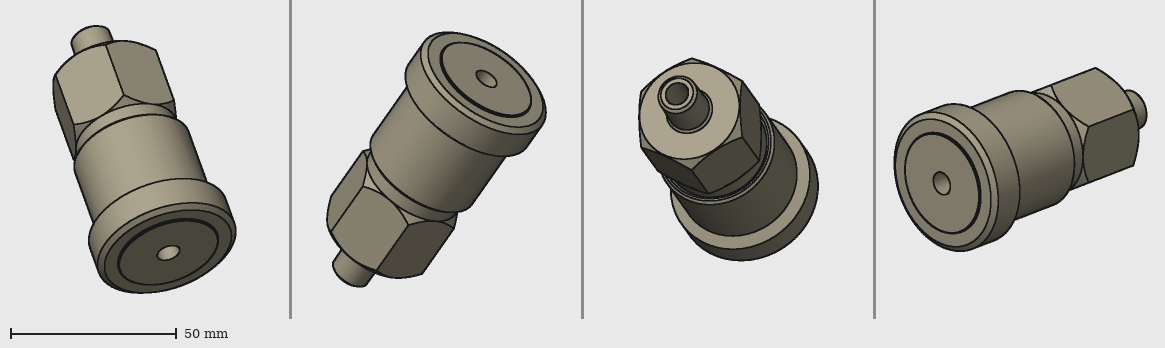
import cadquery as cq
import math

total_length = 83.8
bore_diameter = 7.1

nozzle_mouth_diameter = 10.15
nozzle_tip_diameter = 12.15
nozzle_tip_chamfer = 0.8
nozzle_base_diameter = 12.8
nozzle_flare_start = 13.4
nozzle_flare_diameter = 14.4
hex_start = 14.2
hex_end = 38.7
hex_across_flats = 31.7
hex_across_corners = hex_across_flats / math.cos(math.radians(30))
hex_face_diameter = 31.3
shank_diameter = hex_across_flats
shank_end_chamfer = 0.3

sleeve_start = 44.1
sleeve_diameter = 36.55
sleeve_lip_diameter = 34.8
sleeve_lip_chamfer = 0.8
sleeve_countersink_diameter = 33.4
sleeve_countersink_depth = 0.8
flange_cone_start = 70.7
flange_start = 72.5
flange_diameter = 43.7
flange_chamfer_start = 81.9
flange_face_diameter = 40.1
sleeve_end = 83.2


def turned(profile):
    """Revolve a closed outline of (x, diameter) points about the X axis."""
    points = [(x, diameter / 2) for x, diameter in profile]
    return cq.Workplane("XY").polyline(points).close().revolve(360, (0, 0), (1, 0))


def make_hexagon():
    """Hexagon with corners on the Z axis and both ends turned to 45 degree cones."""
    hex_length = hex_end - hex_start
    prism = cq.Workplane("YZ", origin=(hex_start, 0, 0)).polygon(6, hex_across_corners).extrude(hex_length)
    prism = prism.rotate((0, 0, 0), (1, 0, 0), 90)
    nozzle_cone_length = (hex_across_corners - hex_face_diameter) / 2
    shank_cone_length = (hex_across_corners - shank_diameter) / 2
    envelope = turned([
        (hex_start, 0),
        (hex_start, hex_face_diameter),
        (hex_start + nozzle_cone_length, hex_across_corners),
        (hex_end - shank_cone_length, hex_across_corners),
        (hex_end, shank_diameter),
        (hex_end, 0),
    ])
    return prism.intersect(envelope)


def make_core():
    nozzle_and_shank = turned([
        (0, 0),
        (0, nozzle_mouth_diameter),
        (nozzle_tip_chamfer, nozzle_tip_diameter),
        (nozzle_flare_start, nozzle_base_diameter),
        (hex_start, nozzle_flare_diameter),
        (hex_end, nozzle_flare_diameter),
        (hex_end, shank_diameter),
        (total_length - shank_end_chamfer, shank_diameter),
        (total_length, shank_diameter - 2 * shank_end_chamfer),
        (total_length, 0),
    ])
    bore = cq.Workplane("YZ").circle(bore_diameter / 2).extrude(total_length)
    return nozzle_and_shank.union(make_hexagon()).cut(bore)


def make_sleeve():
    return turned([
        (sleeve_start, sleeve_countersink_diameter),
        (sleeve_start, sleeve_lip_diameter),
        (sleeve_start + sleeve_lip_chamfer, sleeve_diameter),
        (flange_cone_start, sleeve_diameter),
        (flange_start, flange_diameter),
        (flange_chamfer_start, flange_diameter),
        (sleeve_end, flange_face_diameter),
        (sleeve_end, shank_diameter),
        (sleeve_start + sleeve_countersink_depth, shank_diameter),
    ])


core = make_core()
sleeve = make_sleeve()
result = cq.Compound.makeCompound([core.val(), sleeve.val()])